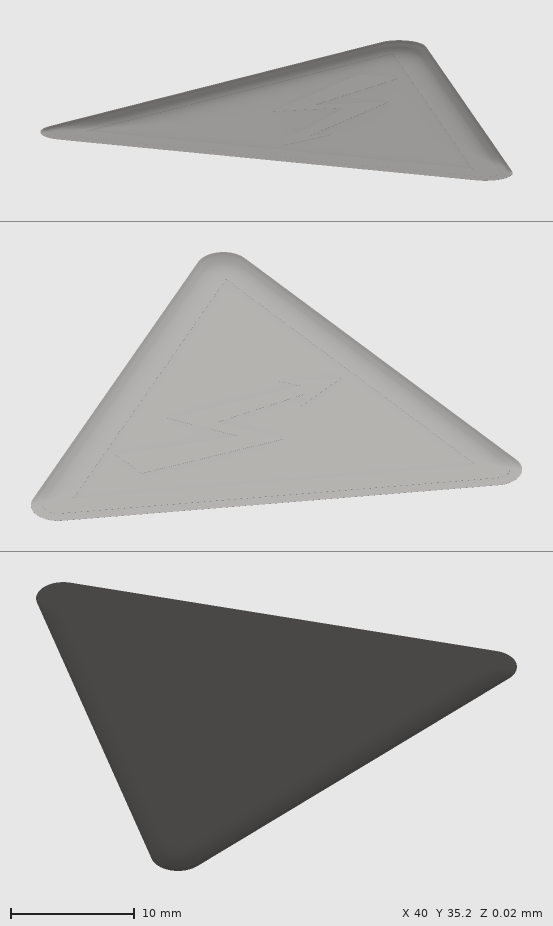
import cadquery as cq
import math

overall_width = 40.0
corner_radius = 2.2
border_width = 1.0
frame_width = 2.0
total_thickness = 0.02
base_thickness = total_thickness / 2
relief_height = total_thickness - base_thickness

corner_spacing = overall_width - 2 * corner_radius
corner_inradius = corner_spacing / (2 * math.sqrt(3))
plate_inradius = corner_inradius + corner_radius
frame_inradius = plate_inradius - border_width
window_inradius = frame_inradius - frame_width

arrow_points = [
    (-0.7, 12.55),
    (2.7, 12.55),
    (-1.35, 3.2),
    (4.1, 6.15),
    (1.1, -5.0),
    (2.65, -4.1),
    (-0.15, -8.3),
    (-1.25, -3.35),
    (-0.1, -4.75),
    (1.15, 3.3),
    (-4.0, 0.5),
]


def triangle_prism(inradius, bottom, height):
    """Sharp equilateral prism pointing toward +Y, centred on the origin."""
    half_side = math.sqrt(3) * inradius
    corners = [(-half_side, -inradius), (half_side, -inradius), (0, 2 * inradius)]
    return cq.Workplane("XY").workplane(offset=bottom).polyline(corners).close().extrude(height)


def rounded_triangle_prism(inradius, radius, bottom, height):
    return triangle_prism(inradius, bottom, height).edges("|Z").fillet(radius)


base = rounded_triangle_prism(plate_inradius, corner_radius, 0, base_thickness)

frame = rounded_triangle_prism(
    frame_inradius, corner_radius - border_width, base_thickness, relief_height
)
frame = frame.cut(triangle_prism(window_inradius, base_thickness, relief_height))

arrow = (
    cq.Workplane("XY")
    .workplane(offset=base_thickness)
    .polyline(arrow_points)
    .close()
    .extrude(relief_height)
)

result = base.union(frame).union(arrow)